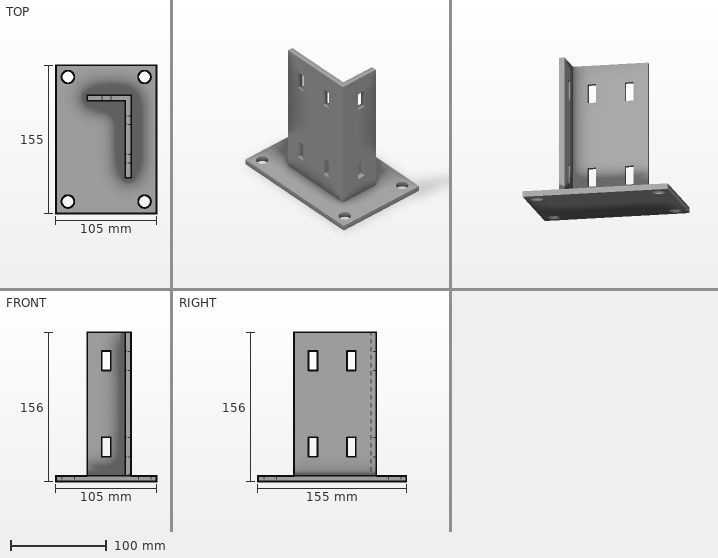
import cadquery as cq

plate_x = 105.0
plate_y = 155.0
plate_thickness = 6.0
bolt_hole_diameter = 13.0
bolt_spacing_x = 80.0
bolt_spacing_y = 130.0

angle_height = 150.0
angle_thickness = 6.0
angle_x_min = -20.0
angle_x_max = 26.0
angle_y_min = -40.0
angle_y_max = 46.0

slot_width = 9.0
slot_height = 20.0
slot_levels = (30.0, 120.0)
short_leg_slot_x = 0.0
long_leg_slot_ys = (-20.0, 20.0)


def make_plate():
    """Base plate with a bolt hole near each corner."""
    return (
        cq.Workplane("XY")
        .box(plate_x, plate_y, plate_thickness, centered=(True, True, False))
        .faces(">Z")
        .workplane()
        .rect(bolt_spacing_x, bolt_spacing_y, forConstruction=True)
        .vertices()
        .hole(bolt_hole_diameter)
    )


def make_angle():
    """L-section upright with its corner at +X, +Y."""
    outline = [
        (angle_x_max, angle_y_max),
        (angle_x_min, angle_y_max),
        (angle_x_min, angle_y_max - angle_thickness),
        (angle_x_max - angle_thickness, angle_y_max - angle_thickness),
        (angle_x_max - angle_thickness, angle_y_min),
        (angle_x_max, angle_y_min),
    ]
    return (
        cq.Workplane("XY", origin=(0, 0, plate_thickness))
        .polyline(outline)
        .close()
        .extrude(angle_height)
    )


def make_slots():
    """Cutters for the slots; each is twice as deep as the leg it pierces."""
    cut_depth = 2 * angle_thickness
    short_leg_mid_y = angle_y_max - angle_thickness / 2
    long_leg_mid_x = angle_x_max - angle_thickness / 2
    short_leg_slot = cq.Workplane("XY").box(slot_width, cut_depth, slot_height)
    long_leg_slot = cq.Workplane("XY").box(cut_depth, slot_width, slot_height)

    slots = cq.Workplane("XY")
    for level in slot_levels:
        z = plate_thickness + level
        slots = slots.add(short_leg_slot.translate((short_leg_slot_x, short_leg_mid_y, z)))
        for y in long_leg_slot_ys:
            slots = slots.add(long_leg_slot.translate((long_leg_mid_x, y, z)))
    return slots.combine()


result = make_plate().union(make_angle()).cut(make_slots())